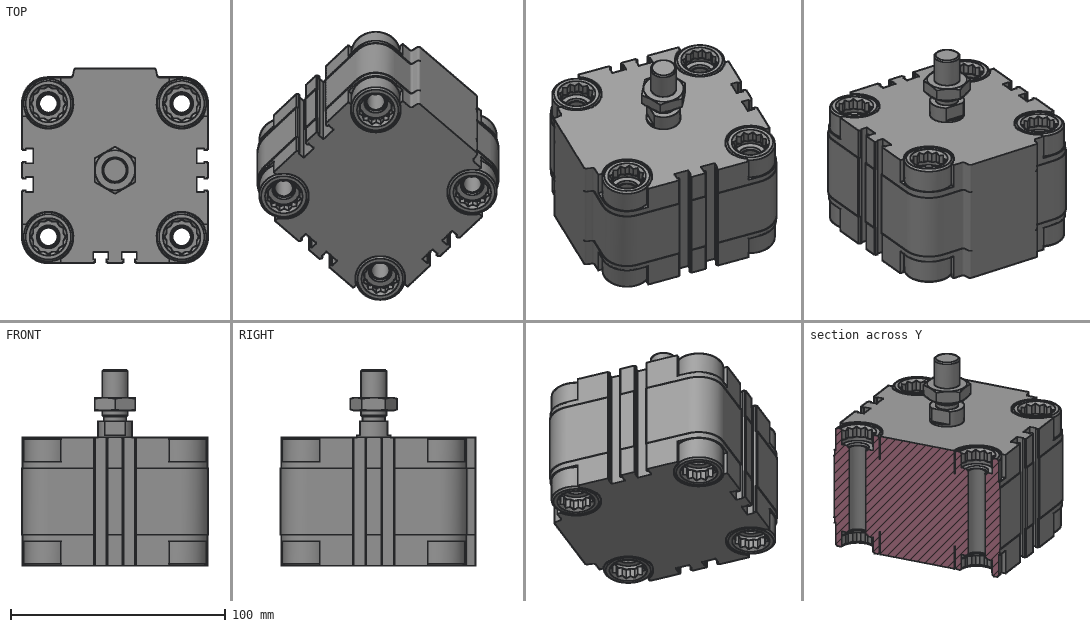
import cadquery as cq
import math


housing_height = 60.0
cap_height = 14.5
barrel_half_width = 43.51
cap_half_width = 43.2
corner_centre = 31.1

rail_face = 47.53
rail_top_half_width = 19.0
rail_base_half_width = 19.9
rail_fillet = 1.2

slot_offset = 6.7
slot_mouth_width = 5.3
slot_inner_width = 6.9
slot_floor = 38.25
slot_shoulder = 41.5
slot_lip_radius = 0.55

boss_radius = 23.0 / 2
boss_height = 11.5
boss_chamfer = 0.9
boss_gap = 0.3
recess_inner = 25.25

socket_rim_radius = 8.8
socket_tip_radius = 8.05
socket_tips = 12
socket_star_depth = 5.9
socket_depth = 7.9
seat_top_radius = 5.4
seat_bottom_radius = 4.8
seat_depth = 0.9
screw_hole_radius = 8.4 / 2

total_height = 91.5
rod_radius = 16.0 / 2
rod_shoulder = 67.6
rod_flats_width = 13.0
rod_flats_bottom = 61.0
neck_radius = 10.6 / 2
neck_top = 69.6
stud_radius = 12.0 / 2
stud_chamfer = stud_radius - neck_radius

nut_bottom = 72.5
nut_thickness = 6.0
nut_flats_width = 19.0
nut_bevel_radius = 9.3
nut_bevel_height = 0.55

corners = [(sx * corner_centre, sy * corner_centre) for sx in (-1, 1) for sy in (-1, 1)]


def t_slot(face, length):
    """Cutter for one T-slot opening towards -Y at y = -face, centred on x = 0."""
    mouth = slot_mouth_width / 2
    inner = slot_inner_width / 2
    lip = slot_lip_radius
    return (
        cq.Workplane("XY")
        .moveTo(-mouth - lip, -face)
        .radiusArc((-mouth, -face + lip), lip)
        .lineTo(-mouth, -slot_shoulder)
        .lineTo(-inner, -slot_shoulder)
        .lineTo(-inner, -slot_floor)
        .lineTo(inner, -slot_floor)
        .lineTo(inner, -slot_shoulder)
        .lineTo(mouth, -slot_shoulder)
        .lineTo(mouth, -face + lip)
        .radiusArc((mouth + lip, -face), lip)
        .close()
        .extrude(length)
    )


def housing_block(half_width, height):
    """Rounded square block with the +Y rail and the T-slots, standing on z = 0."""
    block = (
        cq.Workplane("XY")
        .rect(2 * half_width, 2 * half_width)
        .extrude(height)
        .edges("|Z")
        .fillet(half_width - corner_centre)
    )
    rail = (
        cq.Workplane("XY")
        .moveTo(-rail_base_half_width, half_width)
        .lineTo(-rail_top_half_width, rail_face)
        .lineTo(rail_top_half_width, rail_face)
        .lineTo(rail_base_half_width, half_width)
        .lineTo(rail_base_half_width, corner_centre)
        .lineTo(-rail_base_half_width, corner_centre)
        .close()
        .extrude(height)
    )
    block = block.union(rail)
    rail_edges = cq.selectors.BoxSelector(
        (-rail_base_half_width - 0.9, half_width - 0.1, -0.9),
        (rail_base_half_width + 0.9, rail_face + 0.9, height + 0.9),
    )
    block = block.edges("|Z").edges(rail_edges).fillet(rail_fillet)
    for side_angle in (-90, 0, 90):
        for offset in (-slot_offset, slot_offset):
            slot = t_slot(half_width, height).translate((offset, 0, 0))
            block = block.cut(slot.rotate((0, 0, 0), (0, 0, 1), side_angle))
    return block


def cone(bottom_radius, top_radius, height, base_z):
    solid = cq.Solid.makeCone(bottom_radius, top_radius, height, cq.Vector(0, 0, base_z))
    return cq.Workplane(obj=solid)


def cylinder(radius, bottom_z, top_z):
    return cq.Workplane("XY").workplane(offset=bottom_z).circle(radius).extrude(top_z - bottom_z)


def star_socket(face):
    """Twelve-pointed socket with a bevelled rim, an undercut and a tapered seat, cut down from z = face."""
    half_step = math.pi / socket_tips
    valley_radius = socket_tip_radius * math.cos(math.radians(30)) / math.cos(half_step)
    points = []
    for i in range(2 * socket_tips):
        radius = socket_tip_radius if i % 2 == 0 else valley_radius
        points.append((radius * math.cos(i * half_step), radius * math.sin(i * half_step)))
    floor = face - socket_depth
    star = cq.Workplane("XY").workplane(offset=floor).polyline(points).close().extrude(socket_depth)
    undercut = cylinder(socket_tip_radius, floor, face - socket_star_depth)
    bevel_depth = socket_star_depth
    rim_bevel = cone(socket_rim_radius - bevel_depth, socket_rim_radius, bevel_depth, face - bevel_depth)
    seat = cone(seat_bottom_radius, seat_top_radius, seat_depth, floor - seat_depth)
    return star.union(undercut).union(rim_bevel).union(seat)


def make_end_cap():
    """End cap standing on z = 0 with its recessed bosses and their sockets at the top."""
    cap = housing_block(cap_half_width, cap_height)
    recess_floor = cap_height - boss_height
    corner_size = 2 * (cap_half_width - recess_inner)
    corner_recess = (
        cq.Workplane("XY")
        .workplane(offset=recess_floor)
        .rect(corner_size, corner_size)
        .extrude(boss_height)
    )
    round_recess = cylinder(boss_radius + boss_gap, recess_floor, cap_height)
    boss = cylinder(boss_radius, recess_floor, cap_height).faces(">Z").chamfer(boss_chamfer)
    socket = star_socket(cap_height)
    for x, y in corners:
        edge_x = math.copysign(cap_half_width, x)
        edge_y = math.copysign(cap_half_width, y)
        cap = cap.cut(corner_recess.translate((edge_x, edge_y, 0)))
        cap = cap.cut(round_recess.translate((x, y, 0)))
        cap = cap.union(boss.translate((x, y, 0)))
        cap = cap.cut(socket.translate((x, y, 0)))
    return cap


def make_housing():
    barrel_height = housing_height - 2 * cap_height
    barrel = housing_block(barrel_half_width, barrel_height).translate((0, 0, cap_height))
    cap = make_end_cap()
    upper_cap = cap.translate((0, 0, housing_height - cap_height))
    lower_cap = cap.mirror("XY").translate((0, 0, cap_height))
    screw_holes = cq.Workplane("XY").pushPoints(corners).circle(screw_hole_radius).extrude(housing_height)
    rod_hole = cylinder(rod_radius, housing_height - cap_height, housing_height)
    return barrel.union(upper_cap).union(lower_cap).cut(screw_holes).cut(rod_hole)


def make_piston_rod():
    rod = cylinder(rod_radius, housing_height - cap_height, rod_shoulder)
    flats_height = rod_shoulder - rod_flats_bottom
    flats_envelope = (
        cq.Workplane("XY")
        .workplane(offset=rod_flats_bottom)
        .rect(2 * rod_radius, rod_flats_width)
        .extrude(flats_height)
    )
    flats_cut = cylinder(rod_radius, rod_flats_bottom, rod_shoulder).cut(flats_envelope)
    neck = cylinder(neck_radius, rod_shoulder, neck_top)
    stud = cylinder(stud_radius, neck_top, total_height).faces("<Z or >Z").chamfer(stud_chamfer)
    return rod.cut(flats_cut).union(neck).union(stud)


def make_nut():
    corner_radius = nut_flats_width / 2 / math.cos(math.radians(30))
    hexagon = (
        cq.Workplane("XY")
        .polygon(6, 2 * corner_radius)
        .extrude(nut_thickness)
        .rotate((0, 0, 0), (0, 0, 1), 30)
    )
    bevelled_disc = (
        cylinder(corner_radius, 0, nut_thickness)
        .faces("<Z or >Z")
        .chamfer(nut_bevel_height, corner_radius - nut_bevel_radius)
    )
    nut = hexagon.intersect(bevelled_disc).cut(cylinder(stud_radius, 0, nut_thickness))
    return nut.translate((0, 0, nut_bottom))


housing = make_housing()
piston_rod = make_piston_rod()
nut = make_nut()

result = cq.Compound.makeCompound([*housing.solids().vals(), *piston_rod.solids().vals(), *nut.solids().vals()])